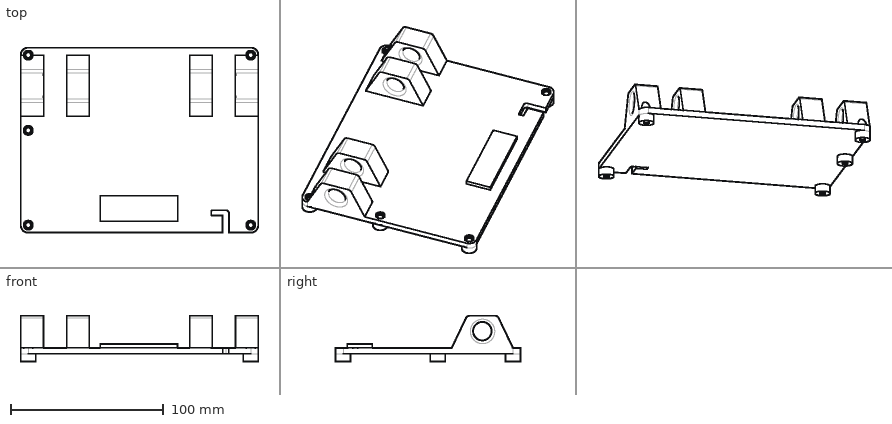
import cadquery as cq
plate_length = 155.4
plate_width = 121.0
plate_thickness = 4.0
foot_height = 5.0
foot_diameter = 10.0
foot_inset = foot_diameter / 2
plate_top = foot_height + plate_thickness

screw_diameter = 3.5
head_diameter = 6.0
head_depth = 1.5
middle_foot_y = 6.4

total_height = 30.0
holder_pitch = 30.0
holder_thickness = holder_pitch / 2
holder_base = 40.1
holder_crest = holder_base / 2
holder_height = total_height - plate_top
holder_crest_radius = 2.5
holder_y = plate_width / 2 - foot_inset - holder_base / 2
tube_diameter = 12.0
tube_mouth_radius = 2.0
tube_height = 10.9
tube_z = plate_top + tube_height

pad_length = 50.7
pad_width = 16.6
pad_height = 2.5
pad_x = -0.5
pad_y = -44.6

slot_width = 4.0
slot_right = 58.5
slot_back = -45.8
arm_left = 47.0
arm_width = 3.4
slot_corner_radius = 2.0
arm_corner_radius = 0.6

half_length = plate_length / 2
half_width = plate_width / 2
foot_x = half_length - foot_inset
foot_y = half_width - foot_inset
foot_centers = [(x, y) for x in (-foot_x, foot_x) for y in (-foot_y, foot_y)]
foot_centers.append((-foot_x, middle_foot_y))


def make_plate():
    plate = cq.Workplane("XY").workplane(offset=foot_height)
    plate = plate.rect(plate_length, plate_width).extrude(plate_thickness)
    return plate.edges("|Z").fillet(foot_inset)


def make_feet():
    return cq.Workplane("XY").pushPoints(foot_centers).circle(foot_diameter / 2).extrude(foot_height)


def make_holder(left_x):
    """Trapezoidal block with a rounded crest and a tube hole along X with rounded mouths."""
    block = (
        cq.Workplane("YZ", origin=(left_x, holder_y, 0))
        .moveTo(holder_base / 2, plate_top)
        .lineTo(holder_crest / 2, total_height)
        .lineTo(-holder_crest / 2, total_height)
        .lineTo(-holder_base / 2, plate_top)
        .close()
        .extrude(holder_thickness)
    )
    tube_hole = (
        cq.Workplane("YZ", origin=(left_x, holder_y, tube_z))
        .circle(tube_diameter / 2)
        .extrude(holder_thickness)
    )
    block = block.cut(tube_hole).edges("%CIRCLE").fillet(tube_mouth_radius)
    return block.faces(">Z").edges("|X").fillet(holder_crest_radius)


def make_name_pad():
    return (
        cq.Workplane("XY", origin=(pad_x, pad_y, plate_top))
        .rect(pad_length, pad_width)
        .extrude(pad_height)
    )


def make_slot():
    slot = (
        cq.Workplane("XY", origin=(0, 0, foot_height))
        .moveTo(slot_right, -half_width)
        .lineTo(slot_right, slot_back)
        .lineTo(arm_left, slot_back)
        .lineTo(arm_left, slot_back - arm_width)
        .lineTo(slot_right - slot_width, slot_back - arm_width)
        .lineTo(slot_right - slot_width, -half_width)
        .close()
        .extrude(plate_thickness)
    )
    slot = slot.edges("|Z and >X and >Y").fillet(slot_corner_radius)
    return slot.edges("|Z and <X").fillet(arm_corner_radius)


def make_screw_holes():
    shanks = cq.Workplane("XY").pushPoints(foot_centers).circle(screw_diameter / 2).extrude(plate_top)
    heads = (
        cq.Workplane("XY", origin=(0, 0, plate_top - head_depth))
        .pushPoints(foot_centers)
        .circle(head_diameter / 2)
        .extrude(holder_height)
    )
    return shanks.union(heads)


result = make_plate()
for inset in (0, holder_pitch):
    left_holder = make_holder(-half_length + inset)
    result = result.union(left_holder).union(left_holder.mirror("YZ"))
result = result.union(make_name_pad()).union(make_feet()).cut(make_slot()).cut(make_screw_holes())